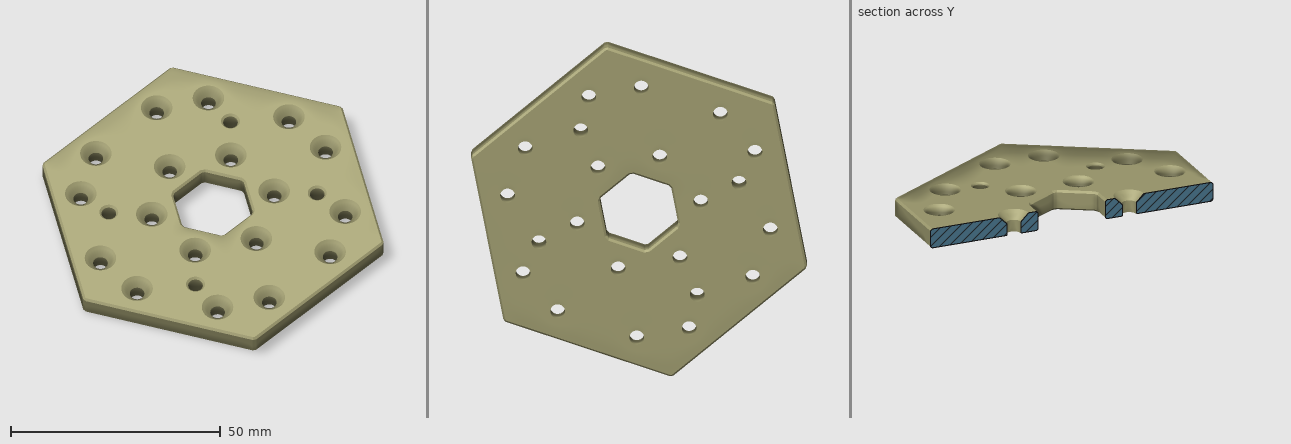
import cadquery as cq
import math

plate_thickness = 5.0
plate_corner_radius = 42.5
window_corner_radius = 10.0
edge_chamfer = 0.5

hole_diameter = 3.5
countersink_diameter = 7.5
countersink_angle = 90.0
plain_hole_rim_diameter = hole_diameter + 2 * edge_chamfer
inner_circle_radius = 15.0
side_hole_distance = 30.0
side_hole_half_spacing = 10.0
plain_hole_x = 15.0
plain_hole_y = 20.0

hexagon_sides = 6
side_angle = 360.0 / hexagon_sides


def hexagonal_prism(corner_radius):
    """Upright hexagonal prism with corners on the Y axis."""
    corners = []
    for side in range(hexagon_sides):
        angle = math.radians(90.0 + side * side_angle)
        corners.append((corner_radius * math.cos(angle), corner_radius * math.sin(angle)))
    return cq.Workplane("XY").polyline(corners).close().extrude(plate_thickness)


def rotated(point, degrees):
    """Point turned about the plate center."""
    x, y = point
    angle = math.radians(degrees)
    return (
        x * math.cos(angle) - y * math.sin(angle),
        x * math.sin(angle) + y * math.cos(angle),
    )


def countersunk_hole_points():
    """Inner ring of six holes, and two holes along each of the six plate sides."""
    points = []
    for side in range(hexagon_sides):
        turn = side * side_angle
        points.append(rotated((inner_circle_radius, 0), turn))
        for offset in (-side_hole_half_spacing, side_hole_half_spacing):
            points.append(rotated((side_hole_distance, offset), turn))
    return points


plate = hexagonal_prism(plate_corner_radius).cut(hexagonal_prism(window_corner_radius))
plate = plate.edges().chamfer(edge_chamfer)

plate = (
    plate.faces(">Z").workplane(origin=(0, 0))
    .pushPoints(countersunk_hole_points())
    .cskHole(hole_diameter, countersink_diameter, countersink_angle)
)

plate = (
    plate.faces(">Z").workplane(origin=(0, 0))
    .rect(2 * plain_hole_x, 2 * plain_hole_y, forConstruction=True)
    .vertices()
    .cskHole(hole_diameter, plain_hole_rim_diameter, countersink_angle)
)

result = plate